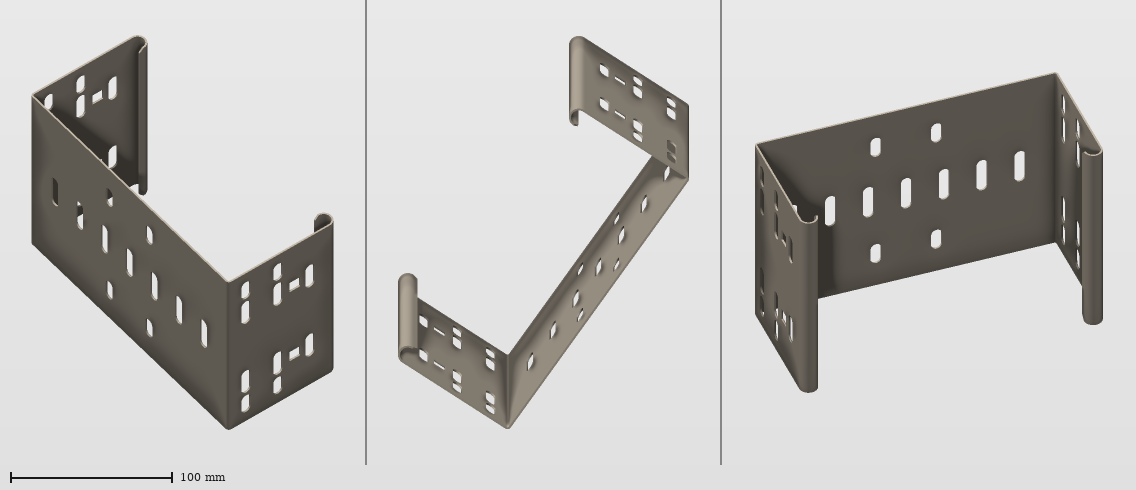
import cadquery as cq
import math

WIDTH = 200.0
DEPTH = 85.5
HEIGHT = 135.0
SHEET = 1.25
BEND_INNER_RADIUS = 1.2
HOOK_INNER_RADIUS = 4.8
LIP_LENGTH = 3.0

SLOT_WIDTH = 7.0
SHORT_SLOT = 15.0
WALL_SLOT = 20.0
WEB_SLOT = 24.0
SLOT_PITCH = 25.0

WEB_SLOT_COUNT = 7
WEB_SHORT_X = 20.0
WEB_SHORT_Z = 42.5

WALL_COLUMN_COUNT = 3
WALL_FIRST_Y = 14.0
WALL_SLOT_Z = 31.5
WALL_SHORT_Z = 51.8
SQUARE_SIZE = 8.5
SQUARE_Y = 52.2

half_width = WIDTH / 2
hook_radius = HOOK_INNER_RADIUS + SHEET
bend_radius = BEND_INNER_RADIUS + SHEET
inner_half_width = half_width - SHEET
hook_center_x = half_width - hook_radius
hook_center_y = DEPTH - hook_radius
lip_end_y = hook_center_y - LIP_LENGTH
diagonal = math.sqrt(0.5)


def half_profile():
    """Closed outline of the +X half of the bent sheet."""
    bend_x = half_width - bend_radius

    def on_bend(radius):
        return (bend_x + radius * diagonal, bend_radius - radius * diagonal)

    return (
        cq.Workplane("XY")
        .moveTo(0, 0)
        .lineTo(bend_x, 0)
        .threePointArc(on_bend(bend_radius), (half_width, bend_radius))
        .lineTo(half_width, hook_center_y)
        .threePointArc((hook_center_x, DEPTH), (hook_center_x - hook_radius, hook_center_y))
        .lineTo(hook_center_x - hook_radius, lip_end_y)
        .lineTo(hook_center_x - HOOK_INNER_RADIUS, lip_end_y)
        .lineTo(hook_center_x - HOOK_INNER_RADIUS, hook_center_y)
        .threePointArc((hook_center_x, DEPTH - SHEET), (inner_half_width, hook_center_y))
        .lineTo(inner_half_width, bend_radius)
        .threePointArc(on_bend(BEND_INNER_RADIUS), (bend_x, SHEET))
        .lineTo(0, SHEET)
        .close()
    )


def channel():
    """Full bent sheet, centred on X and Z, with its outer web face at Y = 0."""
    half = half_profile().extrude(HEIGHT / 2, both=True)
    return half.union(half.mirror("YZ")).clean()


def lip_corners():
    """Wedges that cut the top and bottom corners of both lips at 45 degrees."""
    top_z = HEIGHT / 2
    top = (
        cq.Workplane("YZ")
        .polyline([
            (hook_center_y, top_z),
            (lip_end_y, top_z),
            (lip_end_y, top_z - LIP_LENGTH),
        ])
        .close()
        .extrude(hook_center_x, both=True)
    )
    return top.union(top.mirror("XY"))


def web_slots(points, length):
    """Upright slots through the web at (x, z) points."""
    return (
        cq.Workplane("XZ", origin=(0, bend_radius, 0))
        .pushPoints(points)
        .slot2D(length, SLOT_WIDTH, 90)
        .extrude(2 * bend_radius)
    )


def wall_sketch(points):
    """Locations at (y, z) points on a plane beyond the -X wall."""
    return cq.Workplane("YZ", origin=(-WIDTH, 0, 0)).pushPoints(points)


def wall_slots(points, length):
    """Upright slots through both side walls."""
    return wall_sketch(points).slot2D(length, SLOT_WIDTH, 90).extrude(2 * WIDTH)


def above_and_below(positions, z):
    return [(position, sign * z) for position in positions for sign in (-1, 1)]


web_columns = [(i - (WEB_SLOT_COUNT - 1) / 2) * SLOT_PITCH for i in range(WEB_SLOT_COUNT)]
wall_columns = [WALL_FIRST_Y + i * SLOT_PITCH for i in range(WALL_COLUMN_COUNT)]

result = channel().cut(lip_corners())

result = result.cut(web_slots([(x, 0) for x in web_columns], WEB_SLOT))
web_short_points = above_and_below([-WEB_SHORT_X, WEB_SHORT_X], WEB_SHORT_Z)
result = result.cut(web_slots(web_short_points, SHORT_SLOT))

result = result.cut(wall_slots(above_and_below(wall_columns, WALL_SLOT_Z), WALL_SLOT))
result = result.cut(wall_slots(above_and_below(wall_columns[:2], WALL_SHORT_Z), SHORT_SLOT))

square_points = above_and_below([SQUARE_Y], WALL_SLOT_Z)
result = result.cut(wall_sketch(square_points).rect(SQUARE_SIZE, SQUARE_SIZE).extrude(2 * WIDTH))